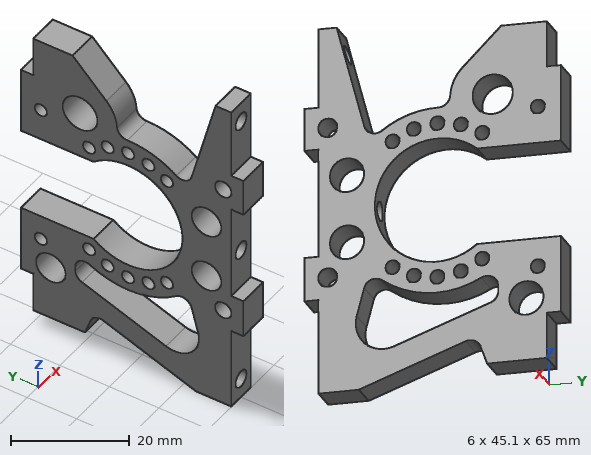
import cadquery as cq
import math


thickness = 6.0
height = 65.0
top = height / 2
spine_face = -20.85
plate_width = 40.05
shoulder = spine_face + plate_width
tab_depth = 2.5
arm_end = shoulder + tab_depth
arm_inner = 8.5
arm_tab_top = 22.0
arm_top = top - tab_depth
spine_tabs = [(11.05, 18.5), (-15.8, -8.05)]

bore_radius = 11.0
seat_radius = 16.5
relief_radius = 2.0

lobe_center = (9.7, 17.95)
lobe_radius = 7.5
lobe_slope = math.radians(45)

spur_tip = -17.7
spur_slope = math.radians(15)
web_slope = math.radians(20)
web_start = -13.8
web_thickness = 4.6
foot_edge = 8.7
pocket_end = 10.65
pocket_corner_radius = 5.0

ring_hole_radius = 13.7
ring_hole_step = math.radians(17.5)
ring_hole_steps = 2
small_tap_drill = 2.5
large_tap_drill = 3.3
arm_taps = [(17.6, 14.95), (17.6, -13.5)]
spine_taps = [(-19.25, 14.75), (-19.25, -11.95)]
lobe_hole = 7.0
pillar_hole = 6.0
pillar_holes = [(-15.85, 6.0), (-15.85, -6.0), (15.6, -19.0)]
edge_tap_offset = 28.5
through_depth = 13.0
blind_depth = 10.0
drill_point = math.radians(118)


def extrude(outline):
    """Extrude an outline drawn at the -X face through the full thickness."""
    return outline.extrude(thickness)


def face_plane():
    """Sketch plane on the -X face, with Y and Z as its axes."""
    return cq.Workplane("YZ", origin=(-thickness / 2, 0, 0))


def polygon(points):
    return extrude(face_plane().polyline(points).close())


def cylinder(center, radius):
    return extrude(face_plane().center(*center).circle(radius))


def round_edge(body, near, radius):
    """Fillet the through-thickness edge closest to the point near = (Y, Z)."""
    return body.edges("|X").edges(cq.selectors.NearestToPointSelector((0, *near))).fillet(radius)


def rectangle(y_range, z_range):
    """Full-thickness block spanning the given Y and Z ranges."""
    (y0, y1), (z0, z1) = y_range, z_range
    return polygon([(y0, z0), (y1, z0), (y1, z1), (y0, z1)])


def spur_y(z):
    """Y of the sloping spur side at height z above the bore axis."""
    return spur_tip + (top - z) * math.tan(spur_slope)


def web_z(y, offset=0.0):
    """Z at y of the web underside, or of a parallel line the given distance above it."""
    return -top + (y - web_start) * math.tan(web_slope) + offset / math.cos(web_slope)


def spur_seat_z():
    """Height at which the spur side meets the seat ring."""
    axis_distance = -spur_y(0) * math.cos(spur_slope)
    half_chord = math.sqrt(seat_radius**2 - axis_distance**2)
    return half_chord * math.cos(spur_slope) - axis_distance * math.sin(spur_slope)


def lobe_seat_crossing():
    """Point on the spine side where the lobe circle meets the seat ring."""
    distance = math.hypot(*lobe_center)
    along = (distance**2 + seat_radius**2 - lobe_radius**2) / (2 * distance)
    across = math.sqrt(seat_radius**2 - along**2)
    uy = lobe_center[0] / distance
    uz = lobe_center[1] / distance
    return (along * uy - across * uz, along * uz + across * uy)


def upper_recess():
    """Open cut-out between the lobe and the spur, bounded below by the seat ring."""
    tangent_y = lobe_center[0] - lobe_radius * math.sin(lobe_slope)
    tangent_z = lobe_center[1] + lobe_radius * math.cos(lobe_slope)
    lobe_corner = tangent_y + (top - tangent_z) / math.tan(lobe_slope)
    recess = polygon([
        (lobe_corner, top),
        (tangent_y, tangent_z),
        lobe_center,
        (0, 0),
        (spur_y(0), 0),
        (spur_tip, top),
    ])
    recess = recess.cut(cylinder(lobe_center, lobe_radius)).cut(cylinder((0, 0), seat_radius))
    spur_z = spur_seat_z()
    recess = round_edge(recess, (spur_y(spur_z), spur_z), relief_radius)
    return round_edge(recess, lobe_seat_crossing(), relief_radius)


def web_spur_corner():
    """Corner of the pocket where the mirrored spur side meets the upper web line."""
    slope_web = math.tan(web_slope)
    slope_spur = math.tan(spur_slope)
    base = web_z(0, web_thickness)
    y = (spur_tip + (top + base) * slope_spur) / (1 - slope_web * slope_spur)
    return (y, web_z(y, web_thickness))


def pocket():
    """Closed window between the seat ring, the spine and the sloping web."""
    inner_corner = web_spur_corner()
    end_corner = (pocket_end, web_z(pocket_end, web_thickness))
    window = polygon([(pocket_end, 0), (spur_y(0), 0), inner_corner, end_corner])
    window = window.cut(cylinder((0, 0), seat_radius))
    spur_z = spur_seat_z()
    window = round_edge(window, inner_corner, pocket_corner_radius)
    window = round_edge(window, end_corner, relief_radius)
    window = round_edge(window, (spur_y(spur_z), -spur_z), relief_radius)
    end_top = -math.sqrt(seat_radius**2 - pocket_end**2)
    return round_edge(window, (pocket_end, end_top), relief_radius)


def lower_notch():
    """Cut below the web, square to it on the foot side."""
    run = math.tan(web_slope)
    rise = arm_top + web_z(foot_edge)
    corner_y = foot_edge - rise * run / (1 + run**2)
    corner = (corner_y, web_z(corner_y))
    foot_bottom = foot_edge + (top - arm_top) * run
    notch = polygon([(web_start, -top), corner, (foot_bottom, -top)])
    return round_edge(notch, corner, relief_radius)


def plate():
    """Blank with locating tabs; the arms stop one tab depth short of the spine ends."""
    body = rectangle((spine_face, 0), (-top, top))
    body = body.union(rectangle((0, shoulder), (-arm_top, arm_top)))
    body = body.union(rectangle((0, arm_end), (-arm_tab_top, arm_tab_top)))
    for z_range in spine_tabs:
        body = body.union(rectangle((spine_face - tab_depth, spine_face), z_range))
    return body


def bearing_opening():
    """Bearing bore and the gap that opens it between the arms."""
    gap = rectangle((0, arm_end), (-arm_inner, arm_inner))
    return cylinder((0, 0), bore_radius).union(gap)


def ring_holes():
    """Centers of the small tapped holes, in one arc above and one below the bore."""
    centers = []
    for side in (1, -1):
        for step in range(-ring_hole_steps, ring_hole_steps + 1):
            angle = step * ring_hole_step
            centers.append((
                ring_hole_radius * math.sin(angle),
                side * ring_hole_radius * math.cos(angle),
            ))
    return centers


def face_holes():
    """Centers and diameters of every hole drilled along X."""
    holes = [(lobe_center, lobe_hole)]
    holes += [(center, pillar_hole) for center in pillar_holes]
    holes += [(center, small_tap_drill) for center in ring_holes() + arm_taps]
    holes += [(center, large_tap_drill) for center in spine_taps]
    return holes


def edge_hole(z, depth):
    """Tap drill hole entering the spine face along +Y."""
    entry = cq.Vector(0, spine_face, z)
    return cq.Workplane(cq.Solid.makeCylinder(large_tap_drill / 2, depth, entry, cq.Vector(0, 1, 0)))


def drill_tip(z, depth):
    """Conical end of a blind edge hole."""
    radius = large_tap_drill / 2
    length = radius / math.tan(drill_point / 2)
    base = cq.Vector(0, spine_face + depth, z)
    return cq.Workplane(cq.Solid.makeCone(radius, 0, length, base, cq.Vector(0, 1, 0)))


result = plate().cut(upper_recess()).cut(pocket()).cut(lower_notch()).cut(bearing_opening())

for hole_center, diameter in face_holes():
    result = result.cut(cylinder(hole_center, diameter / 2))

for hole_z in (edge_tap_offset, 0):
    result = result.cut(edge_hole(hole_z, through_depth))

result = result.cut(edge_hole(-edge_tap_offset, blind_depth))
result = result.cut(drill_tip(-edge_tap_offset, blind_depth))